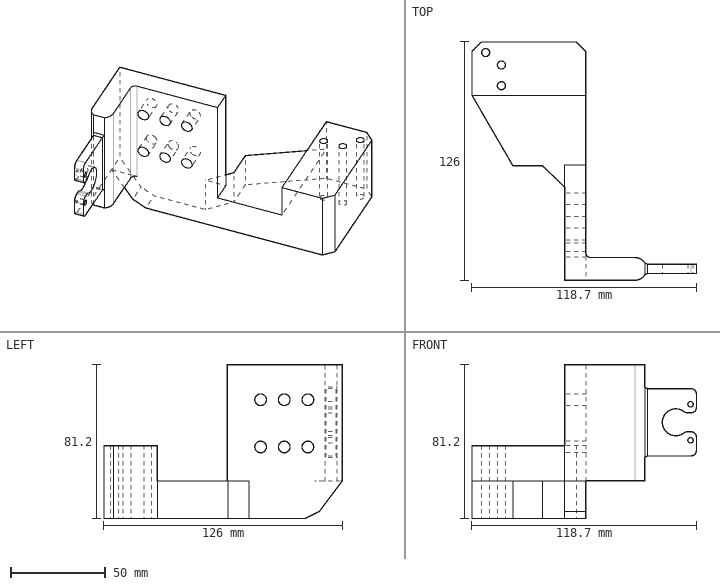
import cadquery as cq
import math

length_x = 118.7
length_y = 126.0
height = 81.2

body_width = 60.2
block_depth = 28.2
block_height = 38.5
block_chamfer = 5.0
foot_height = 19.9
foot_notch_y = 60.5
foot_notch_left = 21.7
foot_notch_right = 37.3
foot_end_y = 49.3
block_hole_diameter = 4.2
block_hole_centers = [(7.3, 120.3), (15.6, 113.7), (15.6, 102.8)]

wall_thickness = 11.2
wall_depth = 60.8
wall_left = body_width - wall_thickness
wall_bottom_y = 19.6
wall_bevel_y = 12.2
wall_bevel_z = 3.7
wall_hole_diameter = 6.0
wall_hole_pitch_y = 12.5
wall_hole_pitch_z = 25.0
wall_hole_center = (30.7, 50.3)

arm_thickness = 12.1
arm_end = 91.3
arm_round_radius = arm_thickness / 2
arm_tip_width = 6.4
inner_corner_radius = 2.5

tab_thickness = 5.0
tab_height = 35.6
tab_rise = 0.3
tab_center_y = arm_thickness / 2
tab_center_z = foot_height + (height - foot_height) / 2 + tab_rise
neck_length = 1.5
tab_corner_radius = 3.0
slot_radius = 7.0
slot_center_x = 107.7
slot_mouth = 9.8
tab_hole_diameter = 2.8
tab_hole_x = 115.5
tab_hole_spacing = 19.0


def make_block():
    block = cq.Workplane("XY").box(body_width, block_depth, block_height, centered=False)
    block = block.translate((0, length_y - block_depth, 0))
    block = block.edges("|Z and >Y").chamfer(block_chamfer)
    holes = (
        cq.Workplane("XY")
        .pushPoints(block_hole_centers)
        .circle(block_hole_diameter / 2)
        .extrude(block_height)
    )
    return block.cut(holes)


def make_foot():
    outline = [
        (0, length_y - block_depth),
        (foot_notch_left, foot_notch_y),
        (foot_notch_right, foot_notch_y),
        (wall_left, foot_end_y),
        (body_width, foot_end_y),
        (body_width, length_y - block_depth),
    ]
    return cq.Workplane("XY").polyline(outline).close().extrude(foot_height)


def make_wall():
    outline = [
        (0, height),
        (0, foot_height),
        (wall_bevel_y, wall_bevel_z),
        (wall_bottom_y, 0),
        (wall_depth, 0),
        (wall_depth, height),
    ]
    wall_plane = cq.Workplane("YZ").workplane(offset=wall_left)
    wall = wall_plane.polyline(outline).close().extrude(wall_thickness)
    holes = (
        wall_plane.center(*wall_hole_center)
        .rarray(wall_hole_pitch_y, wall_hole_pitch_z, 3, 2)
        .circle(wall_hole_diameter / 2)
        .extrude(wall_thickness)
    )
    return wall, holes


def make_arm():
    half_tip = arm_tip_width / 2
    round_length = math.sqrt(arm_round_radius**2 - half_tip**2)
    round_start = arm_end - round_length
    mid_angle = math.asin(round_length / arm_round_radius) / 2
    mid_x = round_start + arm_round_radius * math.sin(mid_angle)
    mid_offset = arm_round_radius * math.cos(mid_angle)
    center_y = arm_thickness / 2
    return (
        cq.Workplane("XY", origin=(0, 0, foot_height))
        .moveTo(wall_left, 0)
        .lineTo(round_start, 0)
        .threePointArc((mid_x, center_y - mid_offset), (arm_end, center_y - half_tip))
        .lineTo(arm_end, center_y + half_tip)
        .threePointArc((mid_x, center_y + mid_offset), (round_start, arm_thickness))
        .lineTo(wall_left, arm_thickness)
        .close()
        .extrude(height - foot_height)
    )


def make_tab():
    tab_length = length_x - arm_end
    tab = cq.Workplane("XY").box(tab_length, tab_thickness, tab_height)
    tab = tab.translate((arm_end + tab_length / 2, tab_center_y, tab_center_z))

    slot_length = length_x - slot_center_x
    mouth = cq.Workplane("XY").box(slot_length, tab_thickness, slot_mouth)
    mouth = mouth.translate((slot_center_x + slot_length / 2, tab_center_y, tab_center_z))
    slot_plane = cq.Workplane("XZ", origin=(slot_center_x, tab_center_y, tab_center_z))
    slot_round = slot_plane.circle(slot_radius).extrude(tab_thickness / 2, both=True)
    tab = tab.cut(mouth.union(slot_round))

    right_of_slot = cq.selectors.BoxSelector(
        (slot_center_x, 0, 0), (length_x + 1.3, arm_thickness, height)
    )
    tab = tab.edges("|Y").edges(right_of_slot).fillet(tab_corner_radius)

    hole_plane = cq.Workplane("XZ", origin=(tab_hole_x, tab_center_y, tab_center_z))
    holes = (
        hole_plane.rarray(1.3, tab_hole_spacing, 1, 2)
        .circle(tab_hole_diameter / 2)
        .extrude(tab_thickness / 2, both=True)
    )
    return tab.cut(holes)


def make_neck():
    """Bevelled collar that narrows from the arm tip to the tab."""
    return (
        cq.Workplane("YZ", origin=(arm_end, tab_center_y, tab_center_z))
        .rect(arm_tip_width, tab_height + arm_tip_width - tab_thickness)
        .workplane(offset=neck_length)
        .rect(tab_thickness, tab_height)
        .loft(ruled=True)
    )


wall, wall_holes = make_wall()
bracket = wall.union(make_arm())
inner_corner = cq.selectors.BoxSelector(
    (body_width - 1.3, arm_thickness - 1.3, 0), (body_width + 1.3, arm_thickness + 1.3, height)
)
bracket = bracket.edges("|Z").edges(inner_corner).fillet(inner_corner_radius)
bracket = bracket.cut(wall_holes)

result = bracket.union(make_foot()).union(make_block()).union(make_tab()).union(make_neck())